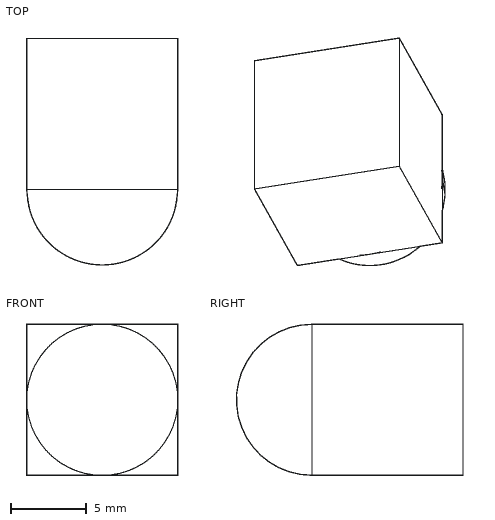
import cadquery as cq

cube_side = 10.0

dome_radius = cube_side / 2
front_face_y = -cube_side / 2


def make_cube():
    """Cube centred on the origin."""
    return cq.Workplane("XY").box(cube_side, cube_side, cube_side)


def make_ball():
    """Ball centred on the front face; its rear half lies inside the cube."""
    return cq.Workplane("XY").sphere(dome_radius).translate((0, front_face_y, 0))


result = make_cube().union(make_ball())